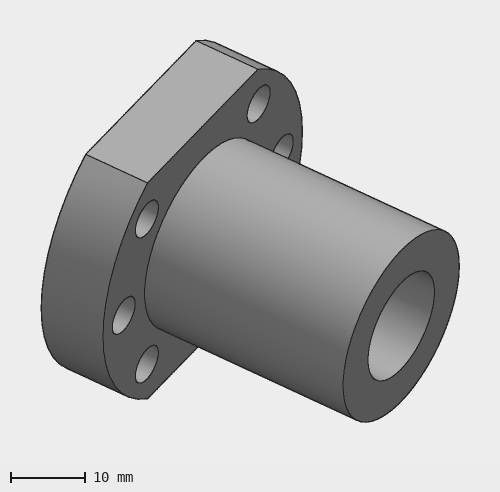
import cadquery as cq

flange_diameter = 48.0
flange_height = 40.0
flange_thickness = 10.0

total_length = 42.0
body_diameter = 28.0
bore_diameter = 16.0

bolt_circle_diameter = 38.0
bolt_hole_diameter = 5.5
bolt_spacing_angle = 45
bolts_per_side = 3


def make_flange():
    disc = cq.Workplane("YZ").circle(flange_diameter / 2).extrude(flange_thickness)
    flats = cq.Workplane("YZ").rect(flange_diameter, flange_height).extrude(flange_thickness)
    return disc.intersect(flats)


def make_body():
    return cq.Workplane("YZ").circle(body_diameter / 2).extrude(total_length)


def make_bore():
    return cq.Workplane("YZ").circle(bore_diameter / 2).extrude(total_length)


def make_bolt_holes(side_angle):
    """Hole cutters centred about the given direction in the YZ plane."""
    first_angle = side_angle - bolt_spacing_angle * (bolts_per_side - 1) / 2
    return (
        cq.Workplane("YZ")
        .polarArray(
            bolt_circle_diameter / 2,
            first_angle,
            bolt_spacing_angle,
            bolts_per_side,
            fill=False,
        )
        .circle(bolt_hole_diameter / 2)
        .extrude(flange_thickness)
    )


result = make_flange().union(make_body()).cut(make_bore())
for side_angle in (0, 180):
    result = result.cut(make_bolt_holes(side_angle))